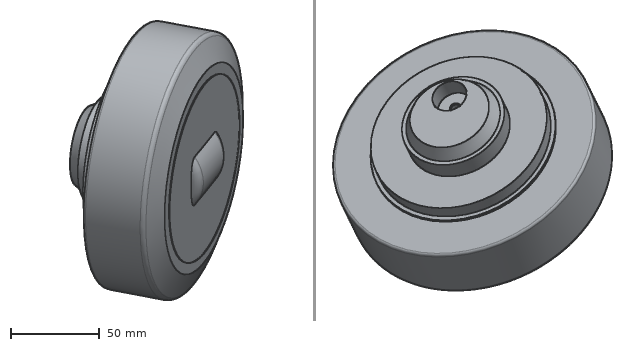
import cadquery as cq
import math

taper_end = 7.5
collar_end = 19.0
hub_start = 27.4
hub_width = 45.0
hub_end = hub_start + hub_width
hub_step = 1.5
hub_lip = 0.5
ring_start = hub_start + hub_step
ring_end = hub_end - hub_lip
total_length = 77.5

collar_radius = 30.0
taper_base_radius = 27.5
taper_angle = 30.0
taper_tip_radius = taper_base_radius - taper_end * math.tan(math.radians(taper_angle))
flange_radius = 51.5
hub_radius = 54.1

ring_radius = 76.9
ring_face_radius = 60.7
shoulder_angle = 22.0
shoulder_length = (ring_radius - ring_face_radius) * math.tan(math.radians(shoulder_angle))
back_fillet = 1.5
shoulder_fillet = 3.0

roller_width = 41.4
roller_radius = 25.8
roller_fillet = 5.2

bore_diameter = 20.0
bore_depth = 11.5
bore_offset = 12.0
drill_diameter = 4.8
drill_chamfer = 0.6
drill_depth = 10.0
drill_point_angle = 118.0


def revolved(outline):
    """Solid of revolution about the X axis from (x, radius) points."""
    return cq.Workplane("XY").polyline(outline).close().revolve(360, (0, 0, 0), (1, 0, 0))


def hub():
    return cq.Workplane("YZ", origin=(hub_start, 0, 0)).circle(hub_radius).extrude(hub_width)


def stud():
    outline = [
        (0, 0),
        (0, taper_tip_radius),
        (taper_end, taper_base_radius),
        (taper_end, collar_radius),
        (collar_end, collar_radius),
        (collar_end, flange_radius),
        (hub_start, flange_radius),
        (hub_start, 0),
    ]
    return revolved(outline)


def tread_ring():
    shoulder_start = ring_end - shoulder_length
    outline = [
        (ring_start, 0),
        (ring_start, ring_radius),
        (shoulder_start, ring_radius),
        (ring_end, ring_face_radius),
        (ring_end, 0),
    ]
    ring = revolved(outline)
    rim_edges = ring.edges(cq.selectors.RadiusNthSelector(-1))
    ring = rim_edges.edges(">X").fillet(shoulder_fillet)
    return ring.faces("<X").edges().fillet(back_fillet)


def side_roller():
    roller = (
        cq.Workplane("XZ", origin=(total_length - roller_radius, 0, 0))
        .circle(roller_radius)
        .extrude(roller_width / 2, both=True)
    )
    return roller.edges("%CIRCLE").fillet(roller_fillet)


def stud_holes():
    point_depth = drill_diameter / 2 / math.tan(math.radians(drill_point_angle / 2))
    drill_end = bore_depth + drill_depth
    outline = [
        (0, 0),
        (0, bore_diameter / 2),
        (bore_depth, bore_diameter / 2),
        (bore_depth, drill_diameter / 2 + drill_chamfer),
        (bore_depth + drill_chamfer, drill_diameter / 2),
        (drill_end, drill_diameter / 2),
        (drill_end + point_depth, 0),
    ]
    return revolved(outline).translate((0, 0, bore_offset))


result = stud().union(hub()).union(tread_ring()).union(side_roller()).cut(stud_holes())